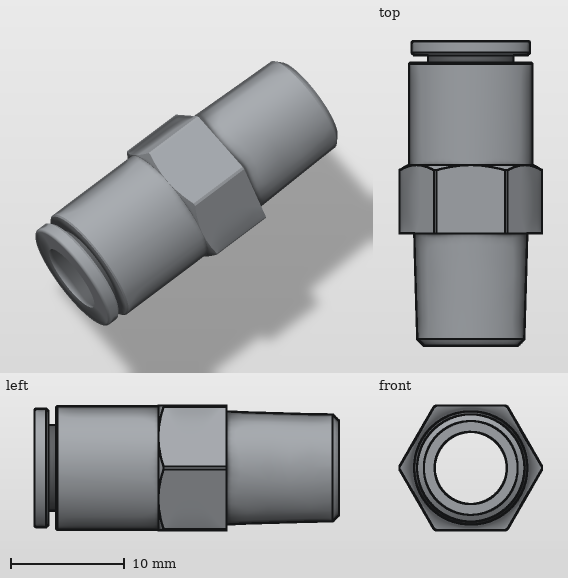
import cadquery as cq
import math

total_length = 26.8
thread_length = 9.9
hex_length = 6.0
body_length = 9.0
collar_length = 1.25

hex_across_flats = 11.0
hex_corner_diameter = 12.55
hex_chamfer_angle = 30.0

thread_root_radius = 5.0
thread_tip_radius = 4.72
thread_chamfer = 0.6

body_radius = 5.45
body_chamfer = 0.13
neck_radius = 3.78
collar_radius = 5.23
collar_chamfer = 0.25
collar_fillet = 0.25
bore_radius = 3.16

hex_start = thread_length
hex_end = hex_start + hex_length
body_end = hex_end + body_length
collar_start = total_length - collar_length


def revolve_profile(points):
    """Revolve a closed (radius, y) outline about the Y axis."""
    return cq.Workplane("XY").polyline(points).close().revolve(360, (0, 0, 0), (0, 1, 0))


def cylinder(radius, start, end):
    """Solid cylinder along Y between two stations."""
    return revolve_profile([(0, start), (radius, start), (radius, end), (0, end)])


def make_thread():
    """Tapered thread envelope with a chamfered tip."""
    return revolve_profile([
        (0, 0),
        (thread_tip_radius - thread_chamfer, 0),
        (thread_tip_radius, thread_chamfer),
        (thread_root_radius, hex_start),
        (0, hex_start),
    ])


def make_hex():
    """Hexagon with corners on +X and -X, rounded and chamfered at its +Y end."""
    corner_to_corner = hex_across_flats / math.cos(math.radians(30))
    prism = (
        cq.Workplane("XZ", origin=(0, hex_start, 0))
        .polygon(6, corner_to_corner)
        .extrude(-hex_length)
    )
    flat_radius = hex_across_flats / 2
    corner_radius = hex_corner_diameter / 2
    chamfer_drop = (corner_radius - flat_radius) * math.tan(math.radians(hex_chamfer_angle))
    envelope = revolve_profile([
        (0, hex_start),
        (corner_radius, hex_start),
        (corner_radius, hex_end - chamfer_drop),
        (flat_radius, hex_end),
        (0, hex_end),
    ])
    return prism.intersect(envelope)


def make_body():
    """Plain sleeve with a small chamfer on its +Y rim."""
    return cylinder(body_radius, hex_end, body_end).faces(">Y").edges().chamfer(body_chamfer)


def make_release_collar():
    """Release collar on its narrower neck, rounded at +Y and chamfered towards the body."""
    collar = cylinder(collar_radius, collar_start, total_length)
    collar = collar.faces(">Y").edges().fillet(collar_fillet)
    collar = collar.faces("<Y").edges().chamfer(collar_chamfer)
    return collar.union(cylinder(neck_radius, body_end, collar_start))


bore = cylinder(bore_radius, 0, total_length)
solid_fitting = make_thread().union(make_hex()).union(make_body()).union(make_release_collar())
result = solid_fitting.cut(bore)